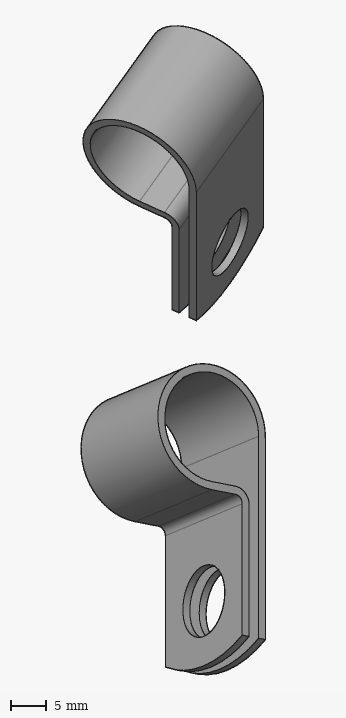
import cadquery as cq
import math

height = 40.9
width = 19.05
loop_diameter = 18.33
thickness = 1.2
leg_gap = 1.6
bend_radius = 1.2
hole_diameter = 10.35
hole_height = 9.5
tip_rise = 2.15

outer_radius = loop_diameter / 2
inner_radius = outer_radius - thickness
bottom = outer_radius - height
short_leg_right = inner_radius - leg_gap
short_leg_left = short_leg_right - thickness
bend_x = short_leg_left - bend_radius
bend_z = -outer_radius - bend_radius
bend_outer_radius = bend_radius + thickness
diagonal = math.sqrt(0.5)


def make_strap():
    """Bent strip: long leg, loop, bend and short leg."""
    profile = (
        cq.Workplane("XZ")
        .moveTo(outer_radius, bottom)
        .lineTo(outer_radius, 0)
        .threePointArc((-outer_radius * diagonal, outer_radius * diagonal), (0, -outer_radius))
        .lineTo(bend_x, -outer_radius)
        .threePointArc(
            (bend_x + bend_radius * diagonal, bend_z + bend_radius * diagonal),
            (short_leg_left, bend_z),
        )
        .lineTo(short_leg_left, bottom)
        .lineTo(short_leg_right, bottom)
        .lineTo(short_leg_right, bend_z)
        .threePointArc(
            (bend_x + bend_outer_radius * diagonal, bend_z + bend_outer_radius * diagonal),
            (bend_x, -inner_radius),
        )
        .lineTo(0, -inner_radius)
        .threePointArc((-inner_radius * diagonal, inner_radius * diagonal), (inner_radius, 0))
        .lineTo(inner_radius, bottom)
        .close()
    )
    return profile.extrude(width / 2, both=True)


def make_side_envelope():
    """Strap outline along X, with the leg ends rounded by one shallow arc."""
    half_width = width / 2
    return (
        cq.Workplane("YZ")
        .moveTo(-half_width, outer_radius)
        .lineTo(-half_width, bottom + tip_rise)
        .threePointArc((0, bottom), (half_width, bottom + tip_rise))
        .lineTo(half_width, outer_radius)
        .close()
        .extrude(outer_radius, both=True)
    )


def make_bolt_hole():
    """Cylinder passing through both legs."""
    return (
        cq.Workplane("YZ")
        .center(0, bottom + hole_height)
        .circle(hole_diameter / 2)
        .extrude(outer_radius, both=True)
    )


result = make_strap().intersect(make_side_envelope()).cut(make_bolt_hole())